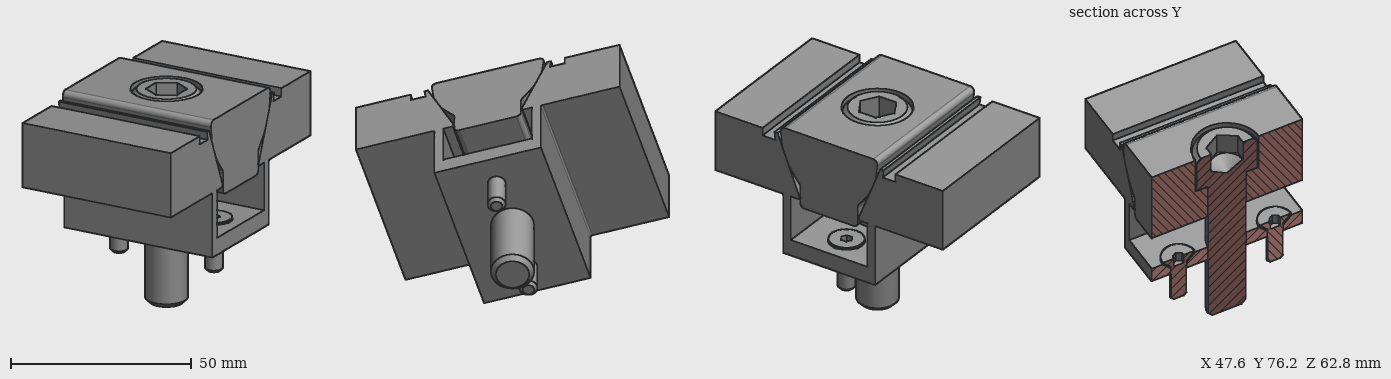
import cadquery as cq
import math

LENGTH_X = 47.6

BODY_HALF_WIDTH = 38.1
JAW_BOTTOM_Z = 19.05
JAW_TOP_Z = 38.0
CHANNEL_OUTER = 15.4
CHANNEL_INNER = 12.8
CHANNEL_CORNER_FILLET = 0.5
FLOOR_Z = 5.0
GROOVE_DEPTH = 2.45
GROOVE_OUTER_Y = 22.25
GROOVE_INNER_Y = 18.3
GROOVE_UNDERCUT = 0.3
LIP_TOP_Y = 17.2
JAW_ANGLE = 22.0
JAW_SLOPE = math.tan(math.radians(JAW_ANGLE))
JAW_TIP_HEIGHT = 0.6
JAW_TIP_SETBACK = 0.3

WEDGE_TOP_Z = 40.5
WEDGE_BOTTOM_Z = 16.7
WEDGE_TOP_HALF = 16.4
CONTACT_TOP_Z = 34.05
CONTACT_BOTTOM_Z = 28.4
WEDGE_FOOT_HALF = 9.6
WEDGE_FOOT_TOP_Z = 23.7
WEDGE_TOP_FILLET = 1.5
WEDGE_FOOT_FILLET = 1.4
FLANK_FILLET = 10.7
NECK_FILLET = 1.9

SCREW_RADIUS = 5.98
SCREW_BOTTOM_Z = -22.25
SCREW_TIP_CHAMFER = 1.4
HEAD_RADIUS = 9.7
HEAD_HEIGHT = 2 * SCREW_RADIUS
HEAD_CHAMFER = 1.4
HEAD_SEAT_Z = WEDGE_TOP_Z - HEAD_HEIGHT
COUNTERBORE_RADIUS = 10.0
SOCKET_FLATS = 10.0
SOCKET_DRILL_RADIUS = 4.9
SOCKET_DEPTH = 6.6
DRILL_POINT_ANGLE = 118.0

MOUNT_X = 15.25
MOUNT_RADIUS = 2.5
MOUNT_BOTTOM_Z = -10.3
MOUNT_TIP_CHAMFER = 0.9
MOUNT_HEAD_RADIUS = 5.0
MOUNT_HEAD_RIM = 0.3
MOUNT_HEAD_PROTRUSION = 0.6
MOUNT_HEAD_TOP_Z = FLOOR_Z + MOUNT_HEAD_PROTRUSION
COUNTERSINK_RADIUS = 5.2
MOUNT_SOCKET_FLATS = 3.0
MOUNT_SOCKET_DEPTH = 3.05


def jaw_face_y(z):
    """Distance of the sloping jaw face from the middle plane at height z."""
    return LIP_TOP_Y - (JAW_TOP_Z - z) * JAW_SLOPE


def mirrored_outline(half):
    """Add to a +Y half outline its mirror image, in reverse order."""
    return half + [(-y, z) for y, z in reversed(half)]


def extruded_along_x(outline):
    return cq.Workplane("YZ").polyline(outline).close().extrude(LENGTH_X / 2, both=True)


def vertical_cylinder(x, radius, bottom_z, top_z):
    return cq.Workplane("XY", origin=(x, 0, bottom_z)).circle(radius).extrude(top_z - bottom_z)


def hex_socket(x, flats, depth, top_z):
    """Hexagonal prism with two corners on the Y axis."""
    across_corners = flats / math.cos(math.pi / 6)
    floor_plane = cq.Workplane("XY", origin=(x, 0, top_z - depth)).transformed(rotate=(0, 0, 90))
    return floor_plane.polygon(6, across_corners).extrude(depth)


def mounting_cone(x, mouth_radius, top_z):
    """90-degree cone that widens from the mounting screw's shank to mouth_radius at top_z."""
    height = mouth_radius - MOUNT_RADIUS
    base = cq.Vector(x, 0, top_z - height)
    return cq.Workplane(cq.Solid.makeCone(MOUNT_RADIUS, mouth_radius, height, pnt=base))


def make_clamp_body():
    groove_floor_z = JAW_TOP_Z - GROOVE_DEPTH
    tip_z = JAW_BOTTOM_Z + JAW_TIP_HEIGHT
    tip_y = jaw_face_y(tip_z)
    half = [
        (CHANNEL_OUTER, 0),
        (CHANNEL_OUTER, JAW_BOTTOM_Z),
        (BODY_HALF_WIDTH, JAW_BOTTOM_Z),
        (BODY_HALF_WIDTH, JAW_TOP_Z),
        (GROOVE_OUTER_Y, JAW_TOP_Z),
        (GROOVE_OUTER_Y, groove_floor_z),
        (GROOVE_INNER_Y - GROOVE_UNDERCUT, groove_floor_z),
        (GROOVE_INNER_Y, JAW_TOP_Z),
        (LIP_TOP_Y, JAW_TOP_Z),
        (tip_y, tip_z),
        (tip_y + JAW_TIP_SETBACK, JAW_BOTTOM_Z),
        (CHANNEL_INNER, JAW_BOTTOM_Z),
        (CHANNEL_INNER, FLOOR_Z),
    ]
    body = extruded_along_x(mirrored_outline(half))
    for y in (-CHANNEL_OUTER, CHANNEL_OUTER):
        corner = cq.selectors.NearestToPointSelector((0, y, JAW_BOTTOM_Z))
        body = body.edges(corner).fillet(CHANNEL_CORNER_FILLET)
    body = body.cut(vertical_cylinder(0, SCREW_RADIUS, 0, FLOOR_Z))
    for x in (-MOUNT_X, MOUNT_X):
        body = body.cut(vertical_cylinder(x, MOUNT_RADIUS, 0, FLOOR_Z))
        body = body.cut(mounting_cone(x, COUNTERSINK_RADIUS, FLOOR_Z))
    return body


def make_wedge():
    half = [
        (WEDGE_FOOT_HALF, WEDGE_BOTTOM_Z),
        (WEDGE_FOOT_HALF, WEDGE_FOOT_TOP_Z),
        (jaw_face_y(CONTACT_BOTTOM_Z), CONTACT_BOTTOM_Z),
        (jaw_face_y(CONTACT_TOP_Z), CONTACT_TOP_Z),
        (WEDGE_TOP_HALF, WEDGE_TOP_Z),
    ]
    wedge = extruded_along_x(mirrored_outline(half))
    for side in (-1, 1):
        flank_end = (0, side * jaw_face_y(CONTACT_BOTTOM_Z), CONTACT_BOTTOM_Z)
        neck = (0, side * WEDGE_FOOT_HALF, WEDGE_FOOT_TOP_Z)
        wedge = wedge.edges(cq.selectors.NearestToPointSelector(flank_end)).fillet(FLANK_FILLET)
        wedge = wedge.edges(cq.selectors.NearestToPointSelector(neck)).fillet(NECK_FILLET)
    wedge = wedge.edges("|X and >Z").fillet(WEDGE_TOP_FILLET)
    wedge = wedge.edges("|X and <Z").fillet(WEDGE_FOOT_FILLET)
    wedge = wedge.cut(vertical_cylinder(0, SCREW_RADIUS, WEDGE_BOTTOM_Z, HEAD_SEAT_Z))
    return wedge.cut(vertical_cylinder(0, COUNTERBORE_RADIUS, HEAD_SEAT_Z, WEDGE_TOP_Z))


def make_clamping_screw():
    shank = vertical_cylinder(0, SCREW_RADIUS, SCREW_BOTTOM_Z, HEAD_SEAT_Z)
    shank = shank.faces("<Z").chamfer(SCREW_TIP_CHAMFER)
    head = vertical_cylinder(0, HEAD_RADIUS, HEAD_SEAT_Z, WEDGE_TOP_Z)
    head = head.faces(">Z").chamfer(HEAD_CHAMFER)
    point_height = SOCKET_DRILL_RADIUS / math.tan(math.radians(DRILL_POINT_ANGLE / 2))
    socket_floor_z = WEDGE_TOP_Z - SOCKET_DEPTH
    point_tip = cq.Vector(0, 0, socket_floor_z - point_height)
    drill_point = cq.Workplane(cq.Solid.makeCone(0, SOCKET_DRILL_RADIUS, point_height, pnt=point_tip))
    screw = shank.union(head).cut(hex_socket(0, SOCKET_FLATS, SOCKET_DEPTH, WEDGE_TOP_Z))
    return screw.cut(drill_point)


def make_mounting_screw(x):
    rim_z = MOUNT_HEAD_TOP_Z - MOUNT_HEAD_RIM
    shank = vertical_cylinder(x, MOUNT_RADIUS, MOUNT_BOTTOM_Z, rim_z)
    shank = shank.faces("<Z").chamfer(MOUNT_TIP_CHAMFER)
    rim = vertical_cylinder(x, MOUNT_HEAD_RADIUS, rim_z, MOUNT_HEAD_TOP_Z)
    screw = shank.union(mounting_cone(x, MOUNT_HEAD_RADIUS, rim_z)).union(rim)
    return screw.cut(hex_socket(x, MOUNT_SOCKET_FLATS, MOUNT_SOCKET_DEPTH, MOUNT_HEAD_TOP_Z))


clamp_body = make_clamp_body()
wedge = make_wedge()
clamping_screw = make_clamping_screw()
mounting_screws = [make_mounting_screw(x).val() for x in (-MOUNT_X, MOUNT_X)]

result = cq.Compound.makeCompound(
    [clamp_body.val(), wedge.val(), clamping_screw.val(), *mounting_screws]
)